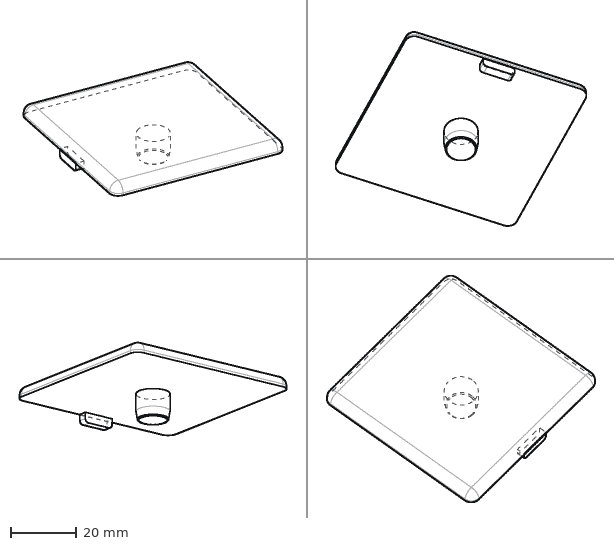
import cadquery as cq

plate_side = 60.0
plate_thickness = 3.95
edge_radius = 3.0

total_height = 12.5
plug_diameter = 10.45
plug_end_diameter = 9.6
taper_height = 2.95
plug_end_chamfer = 0.35

tab_width = 10.45
tab_height = 3.2
tab_thickness = 2.75
tab_corner_radius = 1.25

plug_length = total_height - plate_thickness
plug_radius = plug_diameter / 2
plug_end_radius = plug_end_diameter / 2


def make_plate():
    """Plate standing on Z = 0, rounded at its corners and upper rim."""
    plate = cq.Workplane("XY").box(
        plate_side, plate_side, plate_thickness, centered=(True, True, False)
    )
    return plate.edges("|Z").fillet(edge_radius).faces(">Z").edges().fillet(edge_radius)


def make_plug():
    """Straight shank, tapered nose and a small chamfer at the tip."""
    profile = (
        cq.Workplane("XZ")
        .lineTo(plug_radius, 0)
        .lineTo(plug_radius, taper_height - plug_length)
        .lineTo(plug_end_radius, plug_end_chamfer - plug_length)
        .lineTo(plug_end_radius - plug_end_chamfer, -plug_length)
        .lineTo(0, -plug_length)
        .close()
    )
    return profile.revolve(360, (0, 0, 0), (0, 1, 0))


def make_tab():
    """Flat tab with its inner face in line with the start of the rim rounding."""
    tab_centre_y = -plate_side / 2 + edge_radius - tab_thickness / 2
    tab = cq.Workplane("XY").box(
        tab_width, tab_thickness, tab_height, centered=(True, True, False)
    )
    tab = tab.faces("<Z").edges("|Y").fillet(tab_corner_radius)
    return tab.translate((0, tab_centre_y, -tab_height))


result = make_plate().union(make_plug()).union(make_tab())